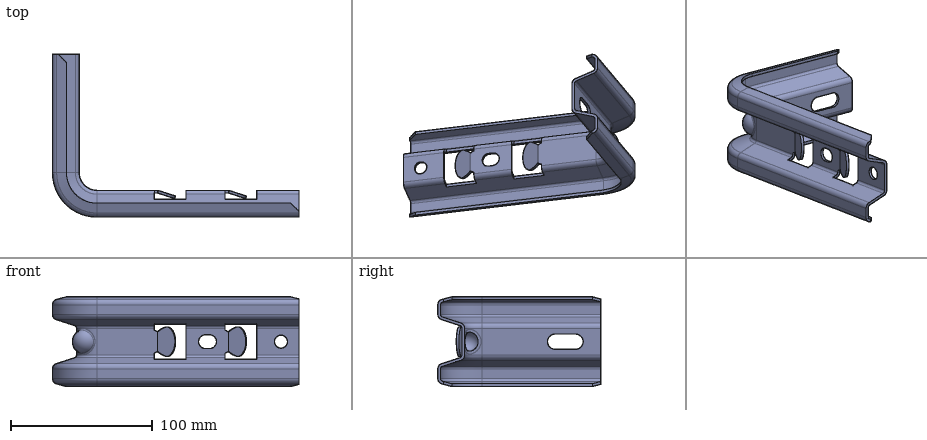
import cadquery as cq
import math

LONG_LEG = 174.0
SHORT_LEG = 115.0
HEIGHT = 63.43
DEPTH = 19.0
SHEET = 2.0
BEND_RADIUS = 31.4

FLANGE_TILT = math.radians(15.0)
WALL_TILT = math.radians(18.0)
FLANGE_DEPTH = 9.9
RAIL_WIDTH = 12.7
INNER_RADIUS = 2.0
OUTER_RADIUS = INNER_RADIUS + SHEET
FLANGE_CORNER = 6.0

WINDOW_STARTS = (71.9, 121.9)
WINDOW_WIDTH = 22.2
WINDOW_REACH = 6.3
OBLONG_X = 109.4
OBLONG_LENGTH = 12.5
OBLONG_HEIGHT = 9.6
ROUND_HOLE_X = LONG_LEG - 12.8
ROUND_HOLE_DIAMETER = 9.0

TAB_TILT = math.radians(18.0)
TAB_NECK_LENGTH = 2.2
TAB_NECK_HALF_HEIGHT = 7.0
TAB_ROOT_HALF_HEIGHT = 8.2
TAB_HALF_HEIGHT = 10.5
TAB_LENGTH = 12.9
TAB_WIDEST = 6.6
TAB_SHOULDER_LENGTH = 2.64
TAB_SHOULDER_HALF_HEIGHT = 9.0

SLOT_Y = SHORT_LEG - 25.0
SLOT_LENGTH = 25.0
SLOT_HEIGHT = 10.6

DOME_RADIUS = 8.7
DOME_OFFSET = 12.3
DOME_BLEND = 1.2


def rounded_outline(plane, corners):
    """Closed outline through (x, y, radius) corners; a zero radius leaves the corner sharp."""
    outline = cq.Workplane(plane)
    for i, (x, y, radius) in enumerate(corners):
        here = cq.Vector(x, y)
        to_last = (cq.Vector(*corners[i - 1][:2]) - here).normalized()
        to_next = (cq.Vector(*corners[(i + 1) % len(corners)][:2]) - here).normalized()
        half_angle = to_last.getAngle(to_next) / 2
        setback = radius / math.tan(half_angle)
        start = here + to_last * setback
        outline = outline.moveTo(start.x, start.y) if i == 0 else outline.lineTo(start.x, start.y)
        if radius > 0:
            to_arc = radius / math.sin(half_angle) - radius
            middle = here + (to_last + to_next).normalized() * to_arc
            end = here + to_next * setback
            outline = outline.threePointArc((middle.x, middle.y), (end.x, end.y))
    return outline.close()


def channel_section(plane):
    """Hat section of constant sheet thickness, as (depth, Z) measured from the outer face."""
    wall_slope = math.tan(WALL_TILT)
    wall_miter = SHEET * math.tan((math.pi / 2 - WALL_TILT) / 2)
    flange_miter = SHEET * math.tan((math.pi / 2 - FLANGE_TILT) / 2)
    rail_top = HEIGHT / 2 - FLANGE_DEPTH * math.tan(FLANGE_TILT)
    rail_bottom = rail_top - RAIL_WIDTH
    web_front = DEPTH - SHEET
    web_half = rail_bottom - web_front * wall_slope
    flange_inside = HEIGHT / 2 - SHEET / math.cos(FLANGE_TILT)

    front = [
        (web_front, web_half, INNER_RADIUS),
        (0, rail_bottom, OUTER_RADIUS),
        (0, rail_top, OUTER_RADIUS),
        (FLANGE_DEPTH, HEIGHT / 2, 0),
    ]
    back = [
        (FLANGE_DEPTH, flange_inside, 0),
        (SHEET, rail_top - flange_miter, INNER_RADIUS),
        (SHEET, rail_bottom + wall_miter, INNER_RADIUS),
        (DEPTH, web_half + wall_miter, OUTER_RADIUS),
    ]
    upper = front + back
    lower = [(depth, -z, radius) for depth, z, radius in reversed(upper)]
    return rounded_outline(plane, upper + lower)


def channel():
    """Two straight legs joined by a quarter bend."""
    long_plane = cq.Plane.YZ(origin=(BEND_RADIUS, 0, 0))
    short_plane = cq.Plane.XZ(origin=(0, BEND_RADIUS, 0))
    long_leg = channel_section(long_plane).extrude(LONG_LEG - BEND_RADIUS)
    short_leg = channel_section(short_plane).extrude(BEND_RADIUS - SHORT_LEG)
    bend = channel_section(long_plane).revolve(90, (BEND_RADIUS, 1, 0), (BEND_RADIUS, 0, 0))
    return long_leg.union(bend).union(short_leg)


def flange_corner_cuts():
    """Slanting cuts that take the corners off all flanges at the free ends of both legs."""
    start = FLANGE_DEPTH - FLANGE_CORNER * math.cos(FLANGE_TILT)
    run = FLANGE_CORNER * (DEPTH - start) / (FLANGE_DEPTH - start)
    rail_inside = HEIGHT / 2 - FLANGE_DEPTH * math.tan(FLANGE_TILT) - OUTER_RADIUS
    long_cut = [(LONG_LEG, start), (LONG_LEG, DEPTH), (LONG_LEG - run, DEPTH)]
    short_cut = [(start, SHORT_LEG), (DEPTH, SHORT_LEG), (DEPTH, SHORT_LEG - run)]
    cuts = cq.Workplane()
    for corners in (long_cut, short_cut):
        upper_plane = cq.Workplane("XY", origin=(0, 0, rail_inside))
        upper_cut = upper_plane.polyline(corners).close().extrude(HEIGHT)
        cuts = cuts.add(upper_cut).add(upper_cut.mirror("XY"))
    return cuts.combine()


def long_leg_openings():
    """Windows, oblong hole and round hole through the long leg."""
    face = cq.Workplane("XZ")
    oblong = face.center(OBLONG_X, 0).slot2D(OBLONG_LENGTH, OBLONG_HEIGHT).extrude(-DEPTH)
    openings = oblong.union(face.center(ROUND_HOLE_X, 0).circle(ROUND_HOLE_DIAMETER / 2).extrude(-DEPTH))
    back = cq.Workplane("XZ", origin=(0, DEPTH, 0))
    for start in WINDOW_STARTS:
        middle = start + WINDOW_WIDTH / 2
        openings = openings.union(back.center(middle, 0).rect(WINDOW_WIDTH, HEIGHT).extrude(WINDOW_REACH))
    return openings


def short_leg_slot():
    """Oblong slot through the web of the short leg."""
    face = cq.Workplane("YZ").center(SLOT_Y, 0)
    return face.slot2D(SLOT_LENGTH, SLOT_HEIGHT).extrude(DEPTH)


def spring_tab(window_start):
    """Rounded tab on a short flat neck, leaning from the web towards the outer face."""
    bend_x = window_start + TAB_NECK_LENGTH
    web_front = DEPTH - SHEET
    lean_x = math.cos(TAB_TILT)
    lean_y = -math.sin(TAB_TILT)

    neck_corners = [
        (window_start, -TAB_ROOT_HALF_HEIGHT),
        (bend_x, -TAB_NECK_HALF_HEIGHT),
        (bend_x, TAB_NECK_HALF_HEIGHT),
        (window_start, TAB_ROOT_HALF_HEIGHT),
    ]
    neck = cq.Workplane("XZ", origin=(0, DEPTH, 0)).polyline(neck_corners).close().extrude(SHEET)

    leaf_plane = cq.Plane(origin=(bend_x, web_front, 0), xDir=(lean_x, lean_y, 0), normal=(lean_y, -lean_x, 0))
    nose = TAB_LENGTH - TAB_WIDEST
    leaf = (
        cq.Workplane(leaf_plane)
        .moveTo(0, -TAB_NECK_HALF_HEIGHT)
        .threePointArc((TAB_SHOULDER_LENGTH, -TAB_SHOULDER_HALF_HEIGHT), (TAB_WIDEST, -TAB_HALF_HEIGHT))
        .ellipseArc(nose, TAB_HALF_HEIGHT, -90, 90, startAtCurrent=True)
        .threePointArc((TAB_SHOULDER_LENGTH, TAB_SHOULDER_HALF_HEIGHT), (0, TAB_NECK_HALF_HEIGHT))
        .close()
        .extrude(-SHEET)
    )
    knuckle_tip = (bend_x - lean_y * SHEET, web_front + lean_x * SHEET)
    half_tilt = TAB_TILT / 2
    knuckle_middle = (bend_x + SHEET * math.sin(half_tilt), web_front + SHEET * math.cos(half_tilt))
    knuckle = (
        cq.Workplane("XY", origin=(0, 0, -TAB_NECK_HALF_HEIGHT))
        .moveTo(bend_x, web_front)
        .lineTo(bend_x, DEPTH)
        .threePointArc(knuckle_middle, knuckle_tip)
        .close()
        .extrude(2 * TAB_NECK_HALF_HEIGHT)
    )
    return neck.union(knuckle).union(leaf)


def add_dome(body):
    """Press a hollow, blended dome out of the web along the diagonal of the bend."""
    place = BEND_RADIUS - DOME_OFFSET * math.sqrt(0.5)
    inside_bend = BEND_RADIUS - DEPTH
    bend_space = cq.Workplane("XY", origin=(BEND_RADIUS, BEND_RADIUS, -HEIGHT / 2)).circle(inside_bend)
    ball = cq.Workplane("XY", origin=(place, place, 0)).sphere(DOME_RADIUS)
    dome = ball.cut(bend_space.extrude(HEIGHT))
    hollow = cq.Workplane("XY", origin=(place, place, 0)).sphere(DOME_RADIUS - SHEET)
    body = body.union(dome)
    low = place - DOME_RADIUS
    high = BEND_RADIUS - DOME_BLEND
    root_box = cq.selectors.BoxSelector(
        (low, low, -DOME_RADIUS),
        (high, high, DOME_RADIUS),
        boundingbox=True,
    )
    body = body.edges(root_box).fillet(DOME_BLEND)
    return body.cut(hollow)


body = channel()
body = body.cut(flange_corner_cuts())
body = body.cut(long_leg_openings())
body = body.cut(short_leg_slot())
body = add_dome(body)
for window_start in WINDOW_STARTS:
    body = body.union(spring_tab(window_start))

result = body